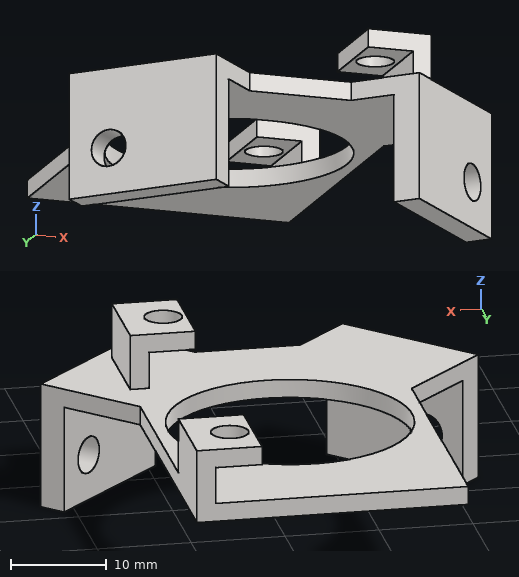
import cadquery as cq
import math

overall_x = 46.65
overall_y = 51.6
overall_z = 19.65

plate_width = 28.9
plate_length = 46.0
sheet_thickness = 2.0
opening_diameter = 26.0

clip_height = 6.0
clip_reach = 6.95
clip_length = 10.0
clip_hole_from_tip = 2.5

arm_angle = 45.0
arm_width = 17.15
arm_length = 17.55
flange_thickness = 3.0
flange_hole_offset = 4.0
flange_hole_depth = 8.65

screw_hole_diameter = 4.0

arm_height = overall_z - clip_height
arm_rise = arm_width * math.sin(math.radians(arm_angle))
arm_run = arm_width * math.cos(math.radians(arm_angle))
arm_face_x = (overall_x - arm_run) / 2
arm_face_y = plate_length / 2 - overall_y + arm_rise / 2


def box(x_min, y_min, z_min, x_size, y_size, z_size):
    """Box placed by its lowest corner."""
    corner = (x_min, y_min, z_min)
    return cq.Workplane("XY").box(x_size, y_size, z_size, centered=False).translate(corner)


def make_plate():
    """Flat plate with its top face at Z = 0."""
    return box(
        -plate_width / 2, -plate_length / 2, -sheet_thickness,
        plate_width, plate_length, sheet_thickness,
    )


def make_clip(y_min):
    """L-shaped clip flush with the plate's +X edge, opening towards -X."""
    edge_x = plate_width / 2
    tip_x = edge_x - clip_reach
    web = box(edge_x - sheet_thickness, y_min, 0, sheet_thickness, clip_length, clip_height)
    lug_bottom = clip_height - sheet_thickness
    lug = box(tip_x, y_min, lug_bottom, clip_reach, clip_length, sheet_thickness)
    hole = (
        cq.Workplane("XY", origin=(tip_x + clip_hole_from_tip, y_min + clip_length / 2, lug_bottom))
        .circle(screw_hole_diameter / 2)
        .extrude(sheet_thickness)
    )
    return web.union(lug).cut(hole)


def make_right_arm():
    """Arm built with its outer face on X = 0, then turned and moved into place."""
    web = box(-arm_length, -arm_width / 2, -sheet_thickness, arm_length, arm_width, sheet_thickness)
    flange = box(-flange_thickness, -arm_width / 2, -arm_height, flange_thickness, arm_width, arm_height)
    hole = (
        cq.Workplane("YZ", origin=(-flange_thickness, flange_hole_offset, -flange_hole_depth))
        .circle(screw_hole_diameter / 2)
        .extrude(flange_thickness)
    )
    arm = web.union(flange).cut(hole)
    return arm.rotate((0, 0, 0), (0, 0, 1), -arm_angle).translate((arm_face_x, arm_face_y, 0))


right_arm = make_right_arm()
left_arm = right_arm.mirror("YZ")
body = make_plate().union(right_arm).union(left_arm)

opening = cq.Workplane("XY").circle(opening_diameter / 2).extrude(-sheet_thickness)
body = body.cut(opening)

for clip_y_min in (-plate_length / 2, plate_length / 2 - clip_length):
    body = body.union(make_clip(clip_y_min))

result = body